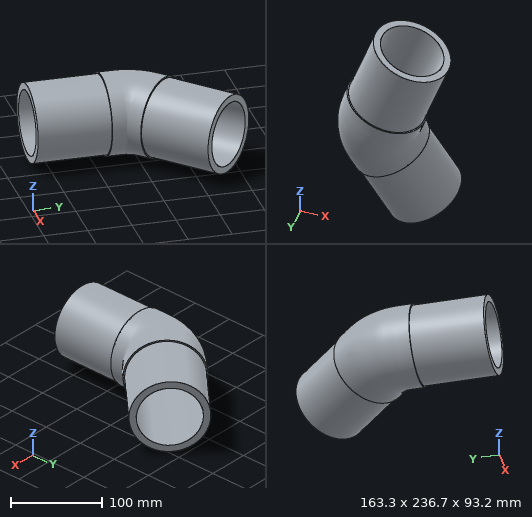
import cadquery as cq
import math

overall_length = 236.7
pipe_diameter = 90.0
bore_diameter = 73.4
body_diameter = 93.2
bend_angle = 45.0
collar_length = 16.8

turn = math.radians(bend_angle)


def tangent_length(bend_radius):
    """Distance from the crossing of the two pipe axes to either end of the bend."""
    return bend_radius * math.tan(turn / 2)


collar_reach = tangent_length(body_diameter / 2) + collar_length
pipe_reach = (overall_length - pipe_diameter / 2 * math.sin(turn)) / (1 + math.cos(turn))

inlet_direction = cq.Vector(0, -1, 0)
outlet_direction = cq.Vector(math.sin(turn), math.cos(turn), 0)


def straight(direction, diameter, start, end):
    """Solid cylinder along one pipe axis between two distances from the origin."""
    plane = cq.Plane(origin=direction * start, normal=direction)
    return cq.Workplane(plane).circle(diameter / 2).extrude(end - start)


def elbow(diameter, reach):
    """Solid bend with a straight leg on each end, out to the given reach."""
    bend_radius = diameter / 2
    start = tangent_length(bend_radius)
    plane = cq.Plane(origin=inlet_direction * start, xDir=(1, 0, 0), normal=inlet_direction)
    solid = (
        cq.Workplane(plane)
        .circle(diameter / 2)
        .revolve(bend_angle, (bend_radius, 2.4, 0), (bend_radius, 0, 0))
    )
    for direction in (inlet_direction, outlet_direction):
        solid = solid.union(straight(direction, diameter, start, reach))
    return solid


body = elbow(body_diameter, collar_reach)

for pipe_direction in (inlet_direction, outlet_direction):
    body = body.union(straight(pipe_direction, pipe_diameter, collar_reach, pipe_reach))

result = body.cut(elbow(bore_diameter, pipe_reach))